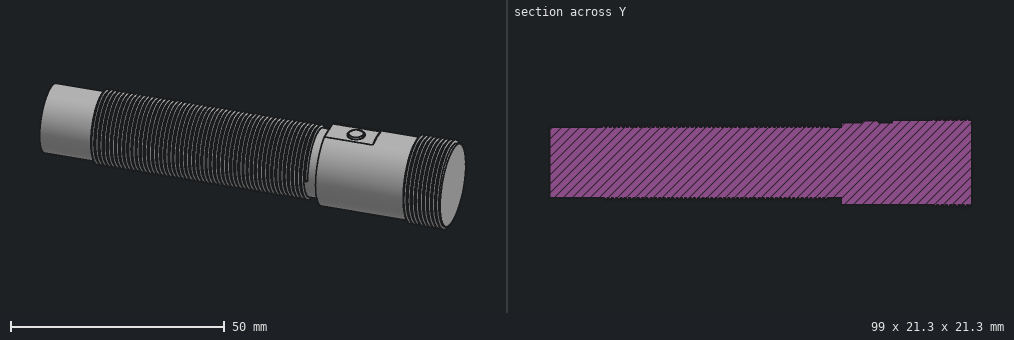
import cadquery as cq

total_length = 99.0
barrel_radius = 8.3
head_start = 68.2
head_radius = 9.9
end_recess = 0.2
head_end = total_length - end_recess

barrel_thread_start = 12.5
barrel_thread_end = 65.4
barrel_thread_turns = 52.5
barrel_thread_radius = 9.0
head_thread_start = 89.6
head_thread_turns = 9
head_thread_radius = 21.3 / 2
ridge_base = 0.9
ridge_crest = 0.1
ridge_root_depth = 0.1
head_thread_end = total_length - ridge_base / 2

flat_length = 11.9
flat_height = 9.4
button_x = 75.0
button_radius = 2.1
button_top = 9.8
button_chamfer = 0.35


def cylinder(start, end, radius):
    """Solid cylinder along X between two stations."""
    return cq.Workplane("YZ", origin=(start, 0, 0)).circle(radius).extrude(end - start)


def thread(start, end, turns, surface_radius, crest_radius):
    """Helical ridge around X that begins on the +Y side of the part."""
    length = end - start
    frame = cq.Plane(origin=(start, 0, 0), xDir=(0, 1, 0), normal=(1, 0, 0))
    helix = cq.Wire.makeHelix(length / turns, length, surface_radius).moved(cq.Location(frame))
    foot_radius = surface_radius - ridge_root_depth
    profile = cq.Workplane("XY").polyline([
        (start - ridge_base / 2, foot_radius),
        (start - ridge_crest / 2, crest_radius),
        (start + ridge_crest / 2, crest_radius),
        (start + ridge_base / 2, foot_radius),
    ]).close()
    return profile.sweep(cq.Workplane(obj=helix), isFrenet=True)


def flat_cutter():
    """Block that planes the flat onto the top of the head."""
    width = 2 * head_radius
    block = cq.Workplane("XY", origin=(head_start, 0, flat_height))
    return block.rect(2 * flat_length, width).extrude(head_radius)


def button():
    """Low round button with a bevelled rim, standing on the flat."""
    pin = cq.Workplane("XY", origin=(button_x, 0, 0)).circle(button_radius).extrude(button_top)
    return pin.faces(">Z").chamfer(button_chamfer)


head = cylinder(head_start, head_end, head_radius).cut(flat_cutter()).union(button())
body = cylinder(0, head_start, barrel_radius).union(head)

barrel_thread = thread(
    barrel_thread_start, barrel_thread_end, barrel_thread_turns, barrel_radius, barrel_thread_radius
)
head_thread = thread(
    head_thread_start, head_thread_end, head_thread_turns, head_radius, head_thread_radius
)

threads = head_thread.add(barrel_thread)
result = body.union(threads, clean=False).solids()